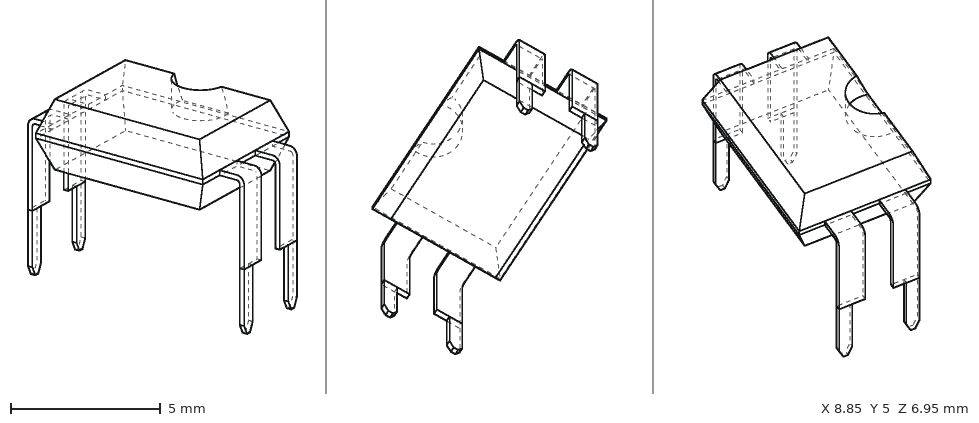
import cadquery as cq


lead_span = 8.85
total_height = 6.95

housing_length = 6.83
housing_width = 5.0
face_inset = 0.45
slope_height = 1.19

notch_radius = 0.97
notch_depth = 1.11
notch_center_inset = 0.3

sheet_thickness = 0.19
bend_radius = 0.3
lead_width = 1.0
lead_outer_width = 3.06

pin_width = 0.505
pin_length = 2.4
tip_width = 0.18
tip_length = 0.345

band_top = total_height - slope_height
band_bottom = band_top - sheet_thickness
lead_outer_x = lead_span / 2
lead_inner_x = lead_outer_x - sheet_thickness
housing_side_x = housing_length / 2
lead_outer_y = lead_outer_width / 2


def make_frustum(base_z, height):
    """Rectangular frustum from the band outline to a smaller face; negative height points down."""
    return (
        cq.Workplane("XY", origin=(0, 0, base_z))
        .rect(housing_length, housing_width)
        .workplane(offset=height)
        .rect(housing_length - 2 * face_inset, housing_width - 2 * face_inset)
        .loft(ruled=True)
    )


def make_housing():
    """Parting band with a frustum above and below, and the index notch cut in the top."""
    band = (
        cq.Workplane("XY", origin=(0, 0, band_bottom))
        .rect(housing_length, housing_width)
        .extrude(sheet_thickness)
    )
    upper = make_frustum(band_top, slope_height)
    lower = make_frustum(band_bottom, -slope_height)
    notch = (
        cq.Workplane("XY", origin=(0, housing_width / 2 - notch_center_inset, total_height))
        .circle(notch_radius)
        .extrude(-notch_depth)
    )
    return band.union(upper).union(lower).cut(notch)


def make_lead():
    """Bent strip at +X, +Y, from the housing side out and down to the shoulder."""
    horizontal_length = lead_outer_x - housing_side_x
    strip = (
        cq.Workplane("XZ", origin=(0, lead_outer_y, 0))
        .moveTo(housing_side_x, band_top)
        .hLine(horizontal_length)
        .vLineTo(pin_length)
        .hLine(-sheet_thickness)
        .vLineTo(band_bottom)
        .hLineTo(housing_side_x)
        .close()
        .extrude(lead_width)
    )
    outer_corner = cq.selectors.NearestToPointSelector(
        (lead_outer_x, lead_outer_y - lead_width / 2, band_top)
    )
    inner_corner = cq.selectors.NearestToPointSelector(
        (lead_inner_x, lead_outer_y - lead_width / 2, band_bottom)
    )
    strip = strip.edges(outer_corner).fillet(bend_radius)
    return strip.edges(inner_corner).fillet(bend_radius - sheet_thickness)


def make_pin():
    """Narrow pin below the lead at +X, +Y, flush with its outer edge, with a tapered tip."""
    pin_inner_y = lead_outer_y - pin_width
    tip_inset = (pin_width - tip_width) / 2
    return (
        cq.Workplane("YZ", origin=(lead_inner_x, 0, 0))
        .polyline([
            (lead_outer_y, pin_length),
            (lead_outer_y, tip_length),
            (lead_outer_y - tip_inset, 0),
            (pin_inner_y + tip_inset, 0),
            (pin_inner_y, tip_length),
            (pin_inner_y, pin_length),
        ])
        .close()
        .extrude(sheet_thickness)
    )


def copy_to_corners(body):
    """Mirrored copies of a +X, +Y body, one separate solid for each corner of the package."""
    copies = []
    for row in (body, body.mirror("YZ")):
        for copy in (row, row.mirror("XZ")):
            copies.append(copy.val())
    return copies


housing = make_housing()
leads = copy_to_corners(make_lead())
pins = copy_to_corners(make_pin())

result = cq.Compound.makeCompound([housing.val(), *leads, *pins])